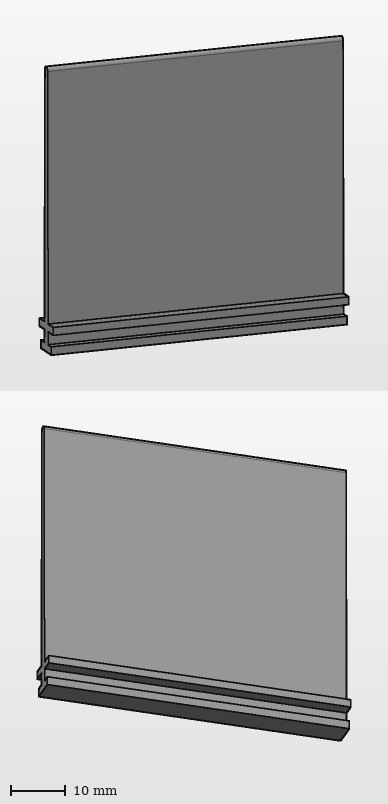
import cadquery as cq

length = 58.0
height = 54.0

foot_width = 5.2
foot_thickness = 1.6
gap_height = 2.4
flange_width = 7.0
flange_thickness = 1.5

root_width = 1.98
tip_radius = 0.72

flange_bottom = foot_thickness + gap_height
tip_center = height - tip_radius


def strip(width, bottom, thickness):
    """Rectangular bar centred on X and Y, running the full length along Y."""
    bar = cq.Workplane("XY").box(width, length, thickness, centered=(True, True, False))
    return bar.translate((0, 0, bottom))


def tapered_web():
    """Upright tapered plate with a semicircular tip, running the full length along Y."""
    half_root = root_width / 2
    profile = (
        cq.Workplane("XZ")
        .moveTo(-half_root, 0)
        .lineTo(half_root, 0)
        .lineTo(tip_radius, tip_center)
        .threePointArc((0, height), (-tip_radius, tip_center))
        .close()
    )
    return profile.extrude(length / 2, both=True)


foot = strip(foot_width, 0, foot_thickness)
flange = strip(flange_width, flange_bottom, flange_thickness)

result = tapered_web().union(foot).union(flange)